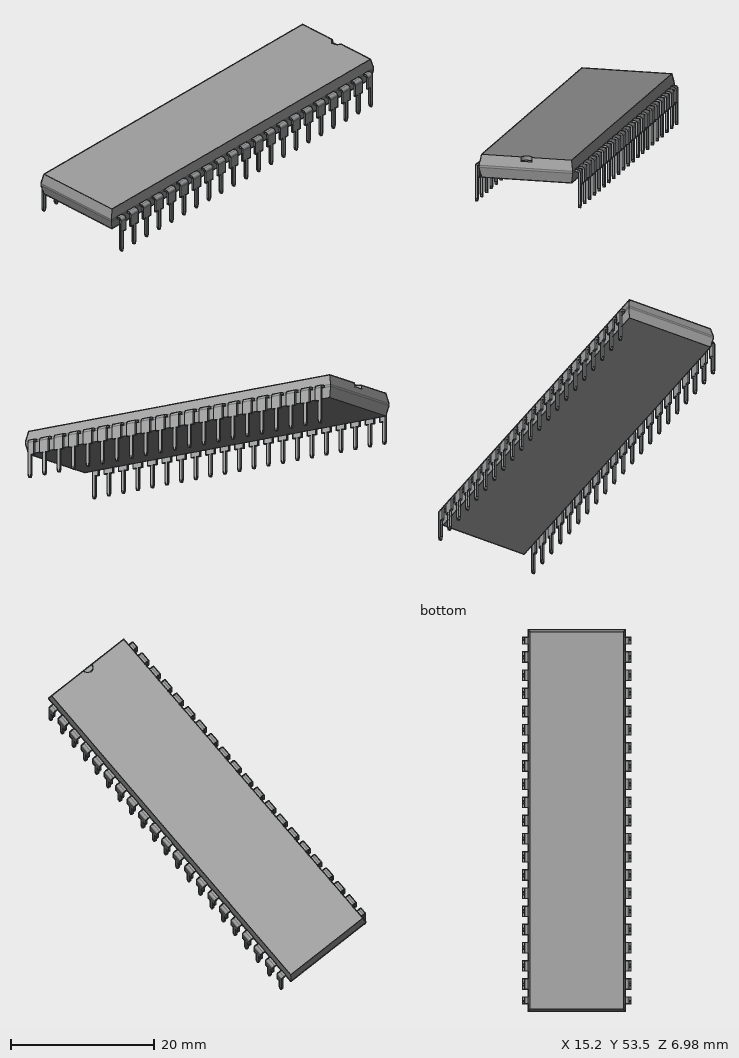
import cadquery as cq

overall_height = 6.98
row_span = 15.24

body_width = 13.6
body_length = 53.46
body_height = 3.3
side_taper = 0.27
end_taper = 0.36
band_thickness = 0.3

leads_per_side = 21
lead_pitch = 2.54
lead_thickness = 0.3
lead_bend_radius = 0.45
shoulder_width = 1.5
shoulder_height = 3.75
pin_width = 0.5
tip_width = 0.2
tip_length = 0.4
lead_root = 1.0

notch_radius = 0.78
notch_centre_inset = 0.3
notch_depth = 0.6

body_top = overall_height
body_bottom = body_top - body_height
band_top = body_top - (body_height - band_thickness) / 2
band_bottom = band_top - band_thickness
shoulder_bottom = body_top - shoulder_height


def tapered_half(start_height, end_height):
    """Body half narrowing from the band to its outer face."""
    return (
        cq.Workplane("XY", origin=(0, 0, start_height))
        .rect(body_width, body_length)
        .workplane(offset=end_height - start_height)
        .rect(body_width - 2 * side_taper, body_length - 2 * end_taper)
        .loft(ruled=True)
    )


def make_notch():
    """Round-ended notch cutter, open at the +Y end."""
    end_y = body_length / 2
    centre_y = end_y - notch_centre_inset
    return (
        cq.Workplane("XY", origin=(0, 0, body_top - notch_depth))
        .moveTo(-notch_radius, end_y)
        .lineTo(-notch_radius, centre_y)
        .threePointArc((0, centre_y - notch_radius), (notch_radius, centre_y))
        .lineTo(notch_radius, end_y)
        .close()
        .extrude(notch_depth)
    )


def make_body():
    band = (
        cq.Workplane("XY", origin=(0, 0, band_bottom))
        .rect(body_width, body_length)
        .extrude(band_thickness)
    )
    upper = tapered_half(band_top, body_top)
    lower = tapered_half(band_bottom, body_bottom)
    return band.union(upper).union(lower).cut(make_notch())


def bent_strip():
    """Bent lead section on the +X side, as wide as a full shoulder and centred on Y = 0."""
    outer_x = row_span / 2
    inner_x = outer_x - lead_thickness
    root_x = body_width / 2 - lead_root
    inner_radius = lead_bend_radius - lead_thickness
    bend_x = outer_x - lead_bend_radius
    bend_z = band_top - lead_bend_radius
    return (
        cq.Workplane("XZ")
        .moveTo(root_x, band_top)
        .lineTo(bend_x, band_top)
        .radiusArc((outer_x, bend_z), lead_bend_radius)
        .lineTo(outer_x, 0)
        .lineTo(inner_x, 0)
        .lineTo(inner_x, bend_z)
        .radiusArc((bend_x, band_bottom), -inner_radius)
        .lineTo(root_x, band_bottom)
        .close()
        .extrude(shoulder_width / 2, both=True)
    )


def lead_outline(left_shoulder, right_shoulder):
    """Outline of a lead, looking along X, with the shoulder reaching the given Y on each side."""
    half_pin = pin_width / 2
    half_tip = tip_width / 2
    reach = row_span / 2
    pin = (
        cq.Workplane("YZ")
        .polyline([
            (-half_pin, band_top),
            (-half_pin, tip_length),
            (-half_tip, 0),
            (half_tip, 0),
            (half_pin, tip_length),
            (half_pin, band_top),
        ])
        .close()
        .extrude(reach)
    )
    shoulder = (
        cq.Workplane("YZ")
        .moveTo(left_shoulder, shoulder_bottom)
        .lineTo(right_shoulder, shoulder_bottom)
        .lineTo(right_shoulder, band_top)
        .lineTo(left_shoulder, band_top)
        .close()
        .extrude(reach)
    )
    return pin.union(shoulder)


def make_lead(index):
    """Lead on the +X side; the two end leads have a shoulder on their inner side only."""
    left_shoulder = -shoulder_width / 2
    right_shoulder = shoulder_width / 2
    if index == 0:
        left_shoulder = -pin_width / 2
    if index == leads_per_side - 1:
        right_shoulder = pin_width / 2
    lead_y = (index - (leads_per_side - 1) / 2) * lead_pitch
    lead = bent_strip().intersect(lead_outline(left_shoulder, right_shoulder))
    return lead.translate((0, lead_y, 0))


result = make_body()
for lead_index in range(leads_per_side):
    right_lead = make_lead(lead_index)
    result = result.union(right_lead).union(right_lead.mirror("YZ"))